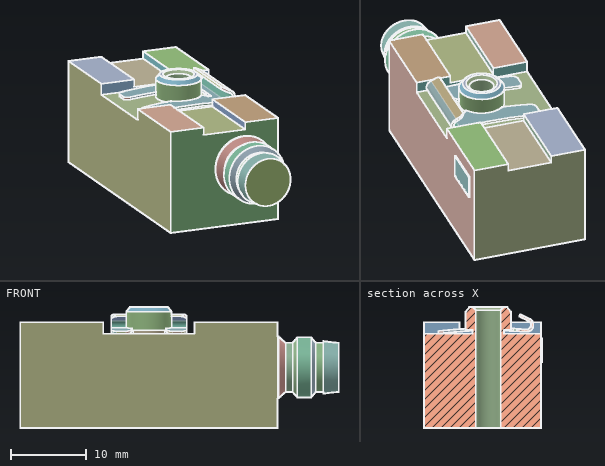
import cadquery as cq
import math

body_length = 33.95
body_width = 15.45
body_height = 14.0
groove_width = 6.0
groove_depth = 1.0
slot_width = 12.0
slot_depth = 1.5
slot_floor = body_height - slot_depth

label_length = 5.55
label_height = 3.15
label_thickness = 0.13
label_x = 1.95
label_z = 8.7

screw_x = body_length / 2
screw_y = 8.5
screw_top = 16.0
screw_diameter = 6.0
screw_top_diameter = 5.0
screw_chamfer_height = 0.65
screw_neck_diameter = 4.2
screw_neck_height = 0.45
bore_diameter = 3.25
bore_mouth_diameter = 4.1
bore_chamfer = (bore_mouth_diameter - bore_diameter) / 2

clip_width = 10.0
clip_thickness = 0.35
clip_front = 1.9
clip_back = 14.45
clip_bend_start = 13.27
clip_bend_rise = 0.25
clip_crest_y = 8.0
clip_crest_rise = 0.4
lip_start_y = 13.65
lip_start_z = 14.2
lip_tip_y = 12.55
lip_tip_z = 14.75
lip_corner_radius = 0.85
leg_tip_radius = 0.7
leg_gap_front = 4.8
leg_gap_back = 4.2
window_width = 4.3
window_neck_width = 2.77
window_back = 12.25
window_shoulder = 11.8
window_neck_y = 11.17

connector_y = 10.5
connector_z = 8.02
connector_end = 42.0
flange_radius = 8.2 / 2
shank_radius = 6.5 / 2
collar_radius = 8.0 / 2
barb_radius = 3.5
flange_end = 34.05
flange_cone_end = 35.0
collar_start = 35.9
collar_land_start = 36.55
collar_land_end = 38.35
collar_end = 38.98
barb_start = 40.0


def box(length, width, height, x, y, z):
    return cq.Workplane("XY").box(length, width, height, centered=False).translate((x, y, z))


def make_body():
    body = box(body_length, body_width, body_height, 0, 0, 0)
    groove = box(
        body_length, groove_width, groove_depth,
        0, (body_width - groove_width) / 2, body_height - groove_depth,
    )
    slot = box(
        slot_width, body_width, slot_depth,
        (body_length - slot_width) / 2, 0, slot_floor,
    )
    label = box(label_length, label_thickness, label_height, label_x, body_width, label_z)
    return body.cut(groove).cut(slot).union(label)


def make_clip():
    """Gently arched sheet, curled up and forward into a lip at the back."""
    lip_run = lip_start_y - lip_tip_y
    lip_rise = lip_tip_z - lip_start_z
    lip_length = math.hypot(lip_run, lip_rise)
    lip_dy = clip_thickness * lip_rise / lip_length
    lip_dz = clip_thickness * lip_run / lip_length
    bend_z = slot_floor + clip_bend_rise
    crest_z = slot_floor + clip_crest_rise
    bend_mid_z = (bend_z + lip_start_z + lip_dz) / 2
    sheet = (
        cq.Workplane("YZ")
        .moveTo(clip_front, slot_floor)
        .threePointArc((clip_crest_y, crest_z), (clip_bend_start, bend_z))
        .threePointArc((clip_back, bend_mid_z), (lip_start_y + lip_dy, lip_start_z + lip_dz))
        .lineTo(lip_tip_y + lip_dy, lip_tip_z + lip_dz)
        .lineTo(lip_tip_y, lip_tip_z)
        .lineTo(lip_start_y, lip_start_z)
        .threePointArc(
            (clip_back - clip_thickness, bend_mid_z),
            (clip_bend_start, bend_z + clip_thickness),
        )
        .threePointArc(
            (clip_crest_y, crest_z + clip_thickness),
            (clip_front, slot_floor + clip_thickness),
        )
        .close()
        .extrude(clip_width / 2, both=True)
        .translate((screw_x, 0, 0))
    )
    return sheet.cut(make_window()).intersect(make_clip_outline())


def make_window():
    """Flared opening behind the screw, below the lip."""
    return (
        cq.Workplane("XY", origin=(screw_x, 0, slot_floor))
        .moveTo(-window_width / 2, window_back)
        .lineTo(window_width / 2, window_back)
        .lineTo(window_width / 2, window_shoulder)
        .lineTo(window_neck_width / 2, window_neck_y)
        .lineTo(window_neck_width / 2, screw_y)
        .lineTo(-window_neck_width / 2, screw_y)
        .lineTo(-window_neck_width / 2, window_neck_y)
        .lineTo(-window_width / 2, window_shoulder)
        .close()
        .extrude(slot_depth)
    )


def make_clip_outline():
    """Plan outline of the clip: rounded leg tips below, rounded lip corners above."""
    split_z = body_height
    base = (
        cq.Workplane("XY", origin=(screw_x, 0, slot_floor))
        .moveTo(-clip_width / 2, clip_front)
        .lineTo(-leg_gap_front / 2, clip_front)
        .lineTo(-leg_gap_back / 2, screw_y)
        .lineTo(leg_gap_back / 2, screw_y)
        .lineTo(leg_gap_front / 2, clip_front)
        .lineTo(clip_width / 2, clip_front)
        .lineTo(clip_width / 2, clip_back)
        .lineTo(-clip_width / 2, clip_back)
        .close()
        .extrude(split_z - slot_floor)
        .edges("|Z and <Y")
        .fillet(leg_tip_radius)
    )
    lip = box(
        clip_width, clip_back - lip_tip_y, screw_top - split_z,
        screw_x - clip_width / 2, lip_tip_y, split_z,
    )
    return base.union(lip.edges("|Z and <Y").fillet(lip_corner_radius))


def make_screw():
    neck = cq.Workplane("XY").circle(screw_neck_diameter / 2).extrude(screw_neck_height)
    head = (
        cq.Workplane("XY", origin=(0, 0, screw_neck_height))
        .circle(screw_diameter / 2)
        .extrude(screw_top - slot_floor - screw_neck_height)
        .faces(">Z")
        .chamfer(screw_chamfer_height, (screw_diameter - screw_top_diameter) / 2)
    )
    return neck.union(head).translate((screw_x, screw_y, slot_floor))


def make_bore():
    """Through hole with a chamfered mouth at the top of the screw."""
    mouth_radius = bore_mouth_diameter / 2
    bore_radius = bore_diameter / 2
    return (
        cq.Workplane("XZ")
        .polyline([
            (0, 0),
            (bore_radius, 0),
            (bore_radius, screw_top - bore_chamfer),
            (mouth_radius, screw_top),
            (0, screw_top),
        ])
        .close()
        .revolve(360, (0, 0), (0, 1))
        .translate((screw_x, screw_y, 0))
    )


def make_connector():
    profile = [
        (body_length, 0),
        (body_length, flange_radius),
        (flange_end, flange_radius),
        (flange_cone_end, shank_radius),
        (collar_start, shank_radius),
        (collar_land_start, collar_radius),
        (collar_land_end, collar_radius),
        (collar_end, shank_radius),
        (barb_start, shank_radius),
        (barb_start, barb_radius),
        (connector_end, shank_radius),
        (connector_end, 0),
    ]
    return (
        cq.Workplane("XY")
        .polyline(profile)
        .close()
        .revolve(360, (0, 0), (1, 0))
        .translate((0, connector_y, connector_z))
    )


result = (
    make_body()
    .union(make_clip())
    .union(make_screw())
    .cut(make_bore())
    .union(make_connector())
)